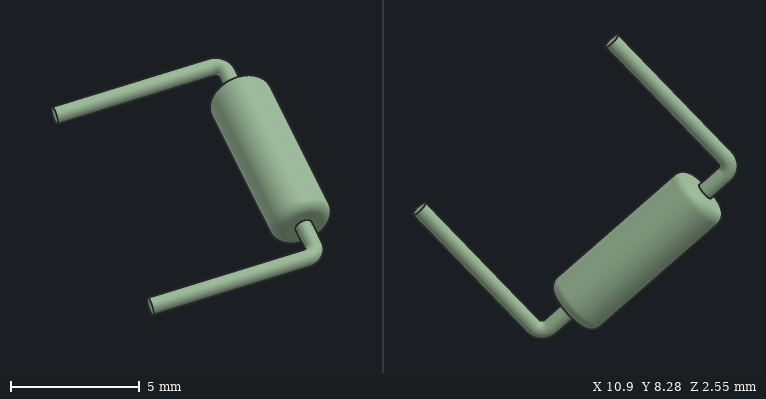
import cadquery as cq

overall_width = 10.86
overall_depth = 8.28

body_length = 7.12
body_diameter = 2.55
body_edge_radius = 0.49

lead_diameter = 0.71
bend_radius = 0.49

lead_x = (overall_width - lead_diameter) / 2
lead_tip_y = body_diameter / 2 - overall_depth


def make_body():
    """Cylinder along X with rounded end edges."""
    return (
        cq.Workplane("YZ", origin=(-body_length / 2, 0, 0))
        .circle(body_diameter / 2)
        .extrude(body_length)
        .edges("%CIRCLE")
        .fillet(body_edge_radius)
    )


def make_leads():
    """One continuous wire through the body, with both ends bent towards -Y."""
    bend_start_x = lead_x - bend_radius
    path = (
        cq.Workplane("XY")
        .moveTo(-lead_x, lead_tip_y)
        .lineTo(-lead_x, -bend_radius)
        .tangentArcPoint((-bend_start_x, 0), relative=False)
        .lineTo(bend_start_x, 0)
        .tangentArcPoint((lead_x, -bend_radius), relative=False)
        .lineTo(lead_x, lead_tip_y)
    )
    return (
        cq.Workplane("XZ", origin=(-lead_x, lead_tip_y, 0))
        .circle(lead_diameter / 2)
        .sweep(path)
    )


result = make_body().union(make_leads())